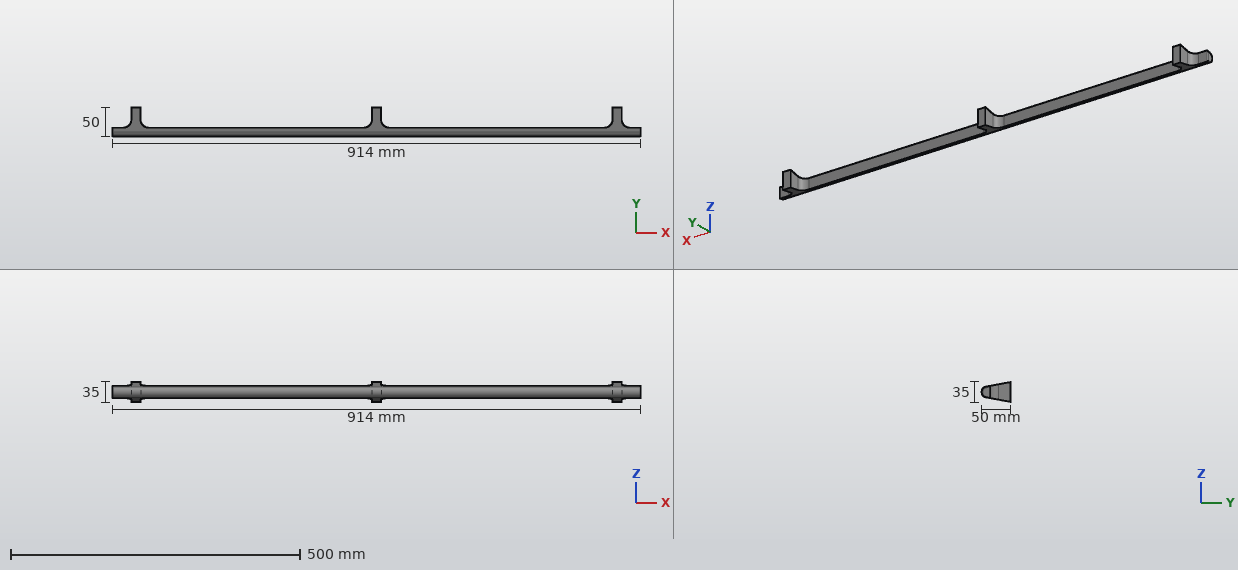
import cadquery as cq
import math

rail_length = 914.0
total_depth = 50.0
wall_height = 35.0

nose_diameter = 19.0
rail_depth = 16.0
end_fillet = 2.0

post_spacing = 416.0
post_half_width = 8.05
flare_radius = 14.0

front_y = -total_depth / 2
wall_y = total_depth / 2
nose_radius = nose_diameter / 2
nose_center_y = front_y + nose_radius
rail_back_y = front_y + rail_depth

wall_half_height = wall_height / 2
wall_reach = wall_y - nose_center_y
corner_angle = math.atan2(wall_half_height, wall_reach)
nose_angle = math.asin(nose_radius / math.hypot(wall_reach, wall_half_height))
flank_angle = corner_angle - nose_angle
tangent_y = nose_center_y - nose_radius * math.sin(flank_angle)
tangent_z = nose_radius * math.cos(flank_angle)


def make_wedge():
    """Full-length wedge with a round nose, as deep as rail and posts together."""
    return (
        cq.Workplane("YZ", origin=(-rail_length / 2, 0, 0))
        .moveTo(wall_y, wall_half_height)
        .lineTo(tangent_y, tangent_z)
        .threePointArc((front_y, 0), (tangent_y, -tangent_z))
        .lineTo(wall_y, -wall_half_height)
        .close()
        .extrude(rail_length)
    )


def make_rail_block():
    """Upright block covering the rail in plan."""
    block = cq.Workplane("XY").box(rail_length, rail_depth, wall_height)
    return block.translate((0, front_y + rail_depth / 2, 0))


def make_post_block(x):
    """Upright block covering one post in plan, with concave flares onto the back of the rail."""
    foot = post_half_width + flare_radius
    flare_end_y = rail_back_y + flare_radius
    flare_offset = flare_radius * (1 - math.sqrt(0.5))
    flare_mid_x = post_half_width + flare_offset
    flare_mid_y = rail_back_y + flare_offset
    return (
        cq.Workplane("XY", origin=(x, 0, -wall_half_height))
        .moveTo(-post_half_width, wall_y)
        .lineTo(-post_half_width, flare_end_y)
        .threePointArc((-flare_mid_x, flare_mid_y), (-foot, rail_back_y))
        .lineTo(-foot, nose_center_y)
        .lineTo(foot, nose_center_y)
        .lineTo(foot, rail_back_y)
        .threePointArc((flare_mid_x, flare_mid_y), (post_half_width, flare_end_y))
        .lineTo(post_half_width, wall_y)
        .close()
        .extrude(wall_height)
    )


def make_handrail():
    """Rail and posts in one piece: their plan shape cut to the wedge section, ends rounded."""
    plan = make_rail_block()
    for x in (-post_spacing, 0, post_spacing):
        plan = plan.union(make_post_block(x))
    blank = plan.clean().intersect(make_wedge()).clean()
    return blank.faces("<X or >X").fillet(end_fillet)


handrail = make_handrail()

result = cq.Compound.makeCompound([handrail.solids().val()])